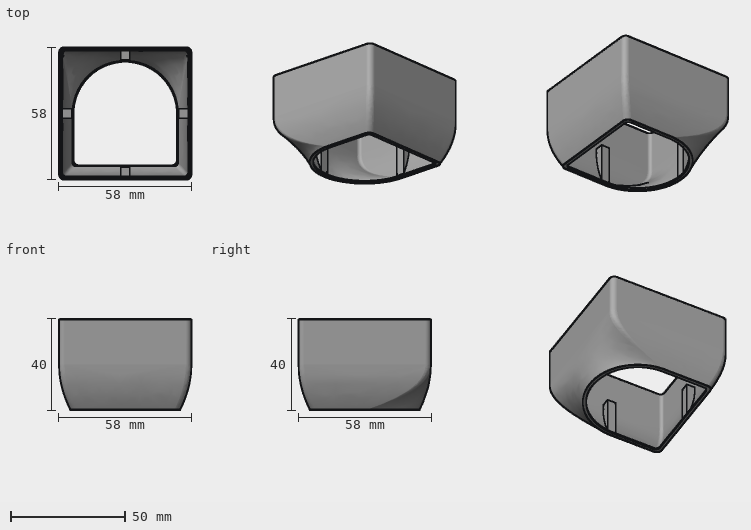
import cadquery as cq
import math

width = 58.0
height = 40.0
shoulder_height = height / 2
wall = 1.5
corner_radius = 2.5
inner_corner_radius = 1.5
rim_chamfer = 0.5

base_width = 48.15
base_band = 0.35
lip_height = 0.85
lip_corner_radius = 2.0
lip_ledge = 0.5
arch_spring = 1.15
spring_power = 2.2
section_count = 7

post_size = 4.05

half_top = width / 2
half_base = base_width / 2


def arch_section(half_width, spring, inset, radius, z):
    """Closed outline with a flat front, straight sides and an arched back, offset inward by inset.

    Its corners are rounded by radius.
    The arch crosses the side walls at Y = spring, and its crown is at Y = half_width.
    Without any rise it is a rounded square.
    """
    side = half_width - inset
    corner_center = side - radius
    rise = half_width - spring
    if rise > 0:
        arch_radius = (half_width**2 + rise**2) / (2 * rise)
        arch_center = half_width - arch_radius
        blend_center = arch_center + math.sqrt(
            (arch_radius - inset - radius) ** 2 - corner_center**2
        )
        direction = math.atan2(blend_center - arch_center, corner_center)
    else:
        blend_center = corner_center
        direction = math.pi / 2
    blend_end_x = corner_center + radius * math.cos(direction)
    blend_end_y = blend_center + radius * math.sin(direction)
    blend_mid_x = corner_center + radius * math.cos(direction / 2)
    blend_mid_y = blend_center + radius * math.sin(direction / 2)
    front_mid = corner_center + radius * math.sqrt(0.5)

    outline = (
        cq.Workplane("XY", origin=(0, 0, z))
        .moveTo(-corner_center, -side)
        .lineTo(corner_center, -side)
        .threePointArc((front_mid, -front_mid), (side, -corner_center))
        .lineTo(side, blend_center)
        .threePointArc((blend_mid_x, blend_mid_y), (blend_end_x, blend_end_y))
    )
    if rise > 0:
        outline = outline.threePointArc((0, side), (-blend_end_x, blend_end_y))
    else:
        outline = outline.lineTo(-blend_end_x, blend_end_y)
    return (
        outline
        .threePointArc((-blend_mid_x, blend_mid_y), (-side, blend_center))
        .lineTo(-side, -corner_center)
        .threePointArc((-front_mid, -front_mid), (-corner_center, -side))
        .close()
    )


def hood(top_inset, base_inset, radius, base_z):
    """Solid from the shoulder down to base_z whose walls curve inward from vertical as they descend."""
    sections = []
    for index in range(section_count):
        drop = index / (section_count - 1)
        z = shoulder_height - drop * (shoulder_height - base_z)
        half_width = half_top - (half_top - half_base) * drop**2
        spring = half_width - (half_base - arch_spring) * drop**spring_power
        inset = top_inset + (base_inset - top_inset) * drop
        sections.append(arch_section(half_width, spring, inset, radius, z).val())
    return cq.Workplane(cq.Solid.makeLoft(sections))


def prism(half_width, spring, inset, radius, z, length):
    return arch_section(half_width, spring, inset, radius, z).extrude(length)


collar_height = height - shoulder_height
collar = prism(half_top, half_top, 0, corner_radius, shoulder_height, collar_height)
collar = collar.faces(">Z").chamfer(rim_chamfer)
base = prism(half_base, arch_spring, 0, corner_radius, 0, base_band)
outer = collar.union(hood(0, 0, corner_radius, base_band)).union(base)

collar_bore = prism(half_top, half_top, wall, inner_corner_radius, shoulder_height, collar_height)
rim_z = height - rim_chamfer
rim_flare = cq.Workplane(
    cq.Solid.makeLoft(
        [
            arch_section(half_top, half_top, wall, inner_corner_radius, rim_z).val(),
            arch_section(
                half_top, half_top, wall - rim_chamfer, inner_corner_radius + rim_chamfer, height
            ).val(),
        ],
        True,
    )
)

body = outer.cut(collar_bore).cut(rim_flare)
body = body.cut(hood(wall, wall - lip_ledge, inner_corner_radius, lip_height))
body = body.cut(prism(half_base, arch_spring, wall, lip_corner_radius, 0, lip_height))

post_offset = half_top - wall - post_size / 2
posts = (
    cq.Workplane("XY")
    .polarArray(post_offset, 0, 360, 4)
    .rect(post_size, post_size)
    .extrude(shoulder_height)
    .intersect(outer)
)

result = body.union(posts)